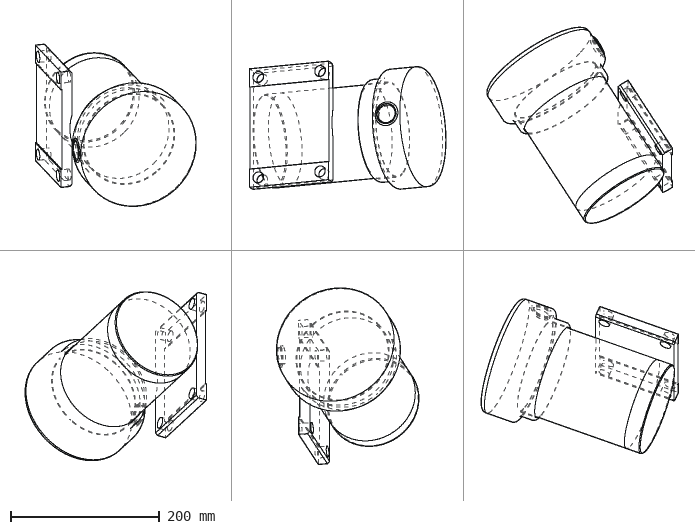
import cadquery as cq

total_length = 224.8

barrel_radius = 127.0 / 2
cap_length = 22.5
cap_chamfer = 1.3

head_radius = 162.5 / 2
shoulder_radius = 139.5 / 2
shoulder_rear_x = 152.2
head_rear_x = 177.4
head_round = 4.7
cover_length = 6.3
cover_rear_x = total_length - cover_length
socket_radius = 129.0 / 2
socket_floor_x = head_rear_x

plug_x = 199.5
plug_stem_radius = 24.7 / 2
plug_flange_radius = 16.5
plug_face_radius = 27.7 / 2
plug_dish_depth = 0.7
plug_stand_out = 1.5
plug_stem_depth = 4.5

plate_length = 114.2
plate_height = 165.0
plate_thickness = 15.7
plate_front_y = -76.2
plate_back_y = plate_front_y + plate_thickness
plate_chamfer = 3.1
plate_relief_height = plate_length
plate_relief_depth = 1.5
plate_hole_diameter = 15.0
plate_hole_inset = 12.5


def axial_cylinder(radius, start_x, end_x):
    """Cylinder about the X axis between two stations."""
    return cq.Workplane("YZ").workplane(offset=start_x).circle(radius).extrude(end_x - start_x)


def make_cap():
    """Disc that closes the rear of the barrel, chamfered at its outer end."""
    return axial_cylinder(barrel_radius, 0, cap_length).faces("<X").edges().chamfer(cap_chamfer)


def make_barrel():
    """Plain cylinder from the cap to the floor of the head socket."""
    return axial_cylinder(barrel_radius, cap_length, socket_floor_x)


def make_plug():
    """Plug pointing to -Y: a stem in the head under a conical flange with a shallow dished face."""
    stem_y = plug_stem_depth - head_radius
    seat_y = -head_radius
    rim_y = seat_y - plug_stand_out
    face_y = rim_y + plug_dish_depth
    profile = [
        (plug_x, stem_y),
        (plug_x + plug_stem_radius, stem_y),
        (plug_x + plug_stem_radius, seat_y),
        (plug_x + plug_flange_radius, seat_y),
        (plug_x + plug_face_radius, rim_y),
        (plug_x + plug_face_radius, face_y),
        (plug_x, face_y),
    ]
    return cq.Workplane("XY").polyline(profile).close().revolve(360, (plug_x, 0, 0), (plug_x, 1, 0))


def make_head(plug):
    """Stepped bell with rounded shoulders, a socket for the barrel and a hole for the plug stem."""
    shoulder_top = shoulder_radius - head_round
    head_top = head_radius - head_round
    profile = (
        cq.Workplane("XY")
        .moveTo(shoulder_rear_x, 0)
        .lineTo(shoulder_rear_x, shoulder_top)
        .radiusArc((shoulder_rear_x + head_round, shoulder_radius), head_round)
        .lineTo(head_rear_x - head_round, shoulder_radius)
        .radiusArc((head_rear_x, shoulder_radius + head_round), -head_round)
        .lineTo(head_rear_x, head_top)
        .radiusArc((head_rear_x + head_round, head_radius), head_round)
        .lineTo(cover_rear_x, head_radius)
        .lineTo(cover_rear_x, 0)
        .close()
    )
    bell = profile.revolve(360, (0, 0, 0), (1, 0, 0))
    socket = axial_cylinder(socket_radius, shoulder_rear_x, socket_floor_x)
    return bell.cut(socket).cut(plug)


def make_cover():
    """Disc that closes the front of the head, rounded at its outer edge."""
    return axial_cylinder(head_radius, cover_rear_x, total_length).faces(">X").edges().fillet(head_round)


def make_plate(barrel, cap):
    """Drilled plate with a relieved front and a saddle that fits the barrel and cap."""
    plate = (
        cq.Workplane("XY")
        .box(plate_length, plate_thickness, plate_height, centered=(False, False, True))
        .translate((0, plate_front_y, 0))
        .edges("|X and >Y")
        .chamfer(plate_chamfer)
    )
    relief = (
        cq.Workplane("XY")
        .box(plate_length, plate_relief_depth, plate_relief_height, centered=(False, False, True))
        .translate((0, plate_front_y, 0))
    )
    holes = (
        cq.Workplane("XZ", origin=(plate_length / 2, plate_back_y, 0))
        .rarray(plate_length - 2 * plate_hole_inset, plate_height - 2 * plate_hole_inset, 2, 2)
        .circle(plate_hole_diameter / 2)
        .extrude(plate_thickness)
    )
    return plate.cut(relief).cut(holes).cut(barrel).cut(cap)


cap = make_cap()
barrel = make_barrel()
plug = make_plug()
head = make_head(plug)
cover = make_cover()
plate = make_plate(barrel, cap)

result = cq.Compound.makeCompound(
    [cap.val(), barrel.val(), plug.val(), head.val(), cover.val(), plate.val()]
)